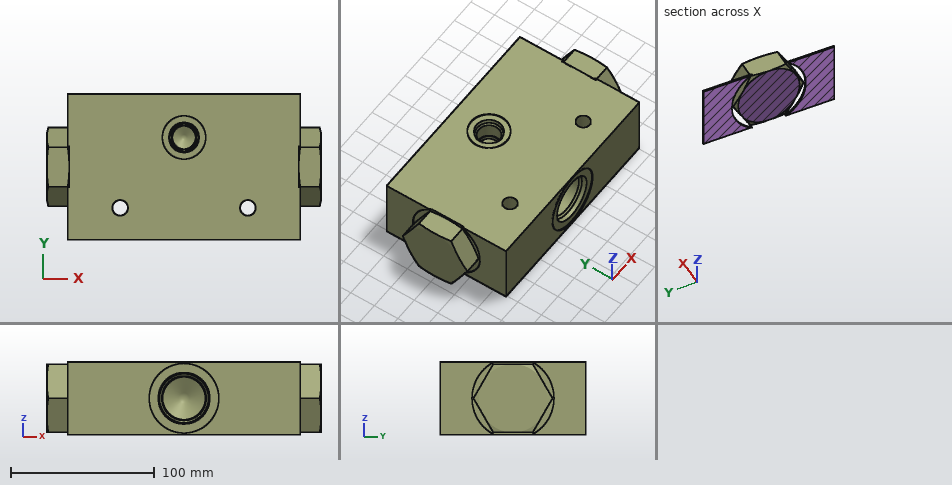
import cadquery as cq
import math

block_length = 161.9
block_width = 101.6
block_height = 50.8

overall_length = 190.88
hex_across_flats = 47.625
hex_across_corners = hex_across_flats / math.cos(math.radians(30))
hex_chamfer_angle = 15
plug_seat_diameter = 57.15
plug_seat_depth = 1.0
plug_height = (overall_length - block_length) / 2 + plug_seat_depth

front_spotface_diameter = 48.51
front_spotface_depth = 0.79
front_mouth_diameter = 35.9
front_mouth_depth = 3.3
front_bore_diameter = 31.0
front_bore_depth = 23.0
front_drill_diameter = 29.8
front_drill_depth = 28.0

top_port_y = 20.4
top_spotface_diameter = 30.18
top_spotface_depth = 0.79
top_mouth_diameter = 21.0
top_mouth_depth = 2.54
top_bore_diameter = 17.2
top_bore_depth = 16.0
top_drill_diameter = 16.2
top_drill_depth = 19.0

mouth_taper_angle = 15
mouth_bottom_angle = 45
drill_point_angle = 118

mounting_hole_diameter = 10.7
mounting_hole_spacing = 88.9
mounting_hole_y = -28.6


def port_cutter(
    spotface_diameter,
    spotface_depth,
    mouth_diameter,
    mouth_depth,
    bore_diameter,
    bore_depth,
    drill_diameter,
    drill_depth,
):
    """Spotface, tapered seal mouth, bore and narrower pointed drilling, down -Z from the origin."""
    spotface_radius = spotface_diameter / 2
    mouth_radius = mouth_diameter / 2
    bore_radius = bore_diameter / 2
    drill_radius = drill_diameter / 2
    taper_end_radius = mouth_radius - mouth_depth * math.tan(math.radians(mouth_taper_angle))
    taper_end_depth = spotface_depth + mouth_depth
    mouth_bottom_height = (taper_end_radius - bore_radius) / math.tan(math.radians(mouth_bottom_angle))
    bore_start_depth = taper_end_depth + mouth_bottom_height
    tip_depth = drill_depth + drill_radius / math.tan(math.radians(drill_point_angle / 2))
    profile = (
        cq.Workplane("XZ")
        .moveTo(0, 0)
        .lineTo(spotface_radius, 0)
        .lineTo(spotface_radius, -spotface_depth)
        .lineTo(mouth_radius, -spotface_depth)
        .lineTo(taper_end_radius, -taper_end_depth)
        .lineTo(bore_radius, -bore_start_depth)
        .lineTo(bore_radius, -bore_depth)
        .lineTo(drill_radius, -bore_depth)
        .lineTo(drill_radius, -drill_depth)
        .lineTo(0, -tip_depth)
        .close()
    )
    return profile.revolve(360, (0, 0, 0), (0, 1, 0))


def make_block():
    """Rectangular block with two ports, two plug seats and two mounting holes."""
    block = cq.Workplane("XY").box(block_length, block_width, block_height)

    front_port = port_cutter(
        front_spotface_diameter,
        front_spotface_depth,
        front_mouth_diameter,
        front_mouth_depth,
        front_bore_diameter,
        front_bore_depth,
        front_drill_diameter,
        front_drill_depth,
    )
    front_port = front_port.rotate((0, 0, 0), (1, 0, 0), 90).translate((0, -block_width / 2, 0))
    block = block.cut(front_port)

    top_port = port_cutter(
        top_spotface_diameter,
        top_spotface_depth,
        top_mouth_diameter,
        top_mouth_depth,
        top_bore_diameter,
        top_bore_depth,
        top_drill_diameter,
        top_drill_depth,
    )
    block = block.cut(top_port.translate((0, top_port_y, block_height / 2)))

    for face in ("<X", ">X"):
        seat = (
            block.faces(face)
            .workplane(origin=(0, 0, 0))
            .circle(plug_seat_diameter / 2)
            .extrude(-plug_seat_depth, combine=False)
        )
        block = block.cut(seat)

    mounting_holes = (
        cq.Workplane("XY", origin=(0, mounting_hole_y, -block_height / 2))
        .pushPoints([(-mounting_hole_spacing / 2, 0), (mounting_hole_spacing / 2, 0)])
        .circle(mounting_hole_diameter / 2)
        .extrude(block_height)
    )
    return block.cut(mounting_holes)


def make_plug(side):
    """Hex plug head on its seat; side is -1 for the -X end and +1 for the +X end."""
    flat_radius = hex_across_flats / 2
    corner_radius = hex_across_corners / 2
    chamfer_depth = (corner_radius - flat_radius) * math.tan(math.radians(hex_chamfer_angle))
    head = cq.Workplane("YZ").polygon(6, hex_across_corners).extrude(plug_height)
    envelope = (
        cq.Workplane("XY")
        .moveTo(0, 0)
        .lineTo(0, flat_radius)
        .lineTo(chamfer_depth, corner_radius)
        .lineTo(plug_height - chamfer_depth, corner_radius)
        .lineTo(plug_height, flat_radius)
        .lineTo(plug_height, 0)
        .close()
        .revolve(360, (0, 0, 0), (1, 0, 0))
    )
    seat_x = block_length / 2 - plug_seat_depth
    head_start_x = seat_x if side > 0 else -seat_x - plug_height
    return head.intersect(envelope).translate((head_start_x, 0, 0))


block = make_block()
plugs = [make_plug(side) for side in (-1, 1)]

result = cq.Compound.makeCompound([block.val(), *[plug.val() for plug in plugs]])